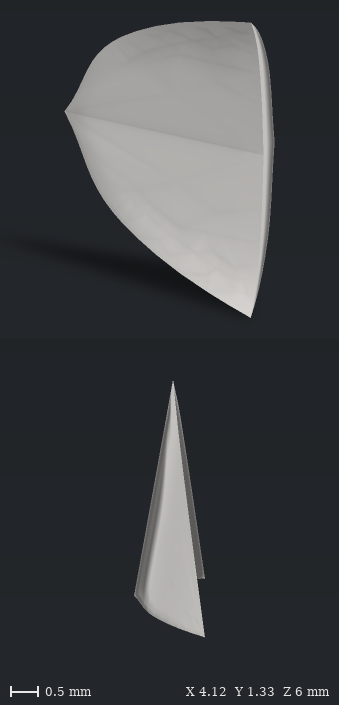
import cadquery as cq

length = 4.12
half_height = 3.0
depth = 1.33
end_thickness = 0.615

rim_waypoints = [(0.17, 0.27), (0.41, 0.78), (0.66, 1.27), (1.10, 1.76), (1.80, 2.21), (2.90, 2.67)]

front_edge_waypoints = [(-0.68, 0.83), (-0.80, 1.70), (-1.03, 2.50)]


def rim_point(x, z):
    """Point in the inclined plane through the tip that holds the rim."""
    return cq.Vector(x, -depth * x / length, z)


tip = cq.Vector(0, 0, 0)
back_middle = cq.Vector(length, 0, 0)
front_middle = cq.Vector(length, -end_thickness, 0)
corner = rim_point(length, half_height)


def make_rim_and_back_edge():
    """Rim curve, and its projection along X onto the flat end.

    Using the heights as parameters of both curves keeps the back surface ruled parallel to X.
    """
    rim_points = [tip] + [rim_point(x, z) for x, z in rim_waypoints] + [corner]
    back_points = [cq.Vector(length, point.y, point.z) for point in rim_points]
    heights = [point.z for point in rim_points]
    rim = cq.Edge.makeSpline(rim_points, parameters=heights)
    back_edge = cq.Edge.makeSpline(back_points, parameters=heights)
    return rim, back_edge


def make_front_edge():
    """Concave front edge of the flat end, from mid-height to the top corner."""
    waypoints = [cq.Vector(length, y, z) for y, z in front_edge_waypoints]
    return cq.Edge.makeSpline([front_middle] + waypoints + [corner])


def make_planar_face(edges):
    return cq.Face.makeFromWires(cq.Wire.assembleEdges(edges))


def make_upper_half():
    """Half of the part above the symmetry plane Z = 0."""
    rim, back_edge = make_rim_and_back_edge()
    front_edge = make_front_edge()
    front_ridge = cq.Edge.makeLine(tip, front_middle)
    back_ridge = cq.Edge.makeLine(tip, back_middle)
    end_middle = cq.Edge.makeLine(back_middle, front_middle)

    front_face = cq.Face.makeNSidedSurface([front_ridge, front_edge, rim], [])
    back_face = cq.Face.makeRuledSurface(rim, back_edge)
    end_face = make_planar_face([end_middle, front_edge, back_edge])
    symmetry_face = make_planar_face([front_ridge, end_middle, back_ridge])

    shell = cq.Shell.makeShell([front_face, back_face, end_face, symmetry_face])
    return cq.Workplane(cq.Solid.makeSolid(shell))


upper_half = make_upper_half()
result = upper_half.union(upper_half.mirror("XY")).solids()